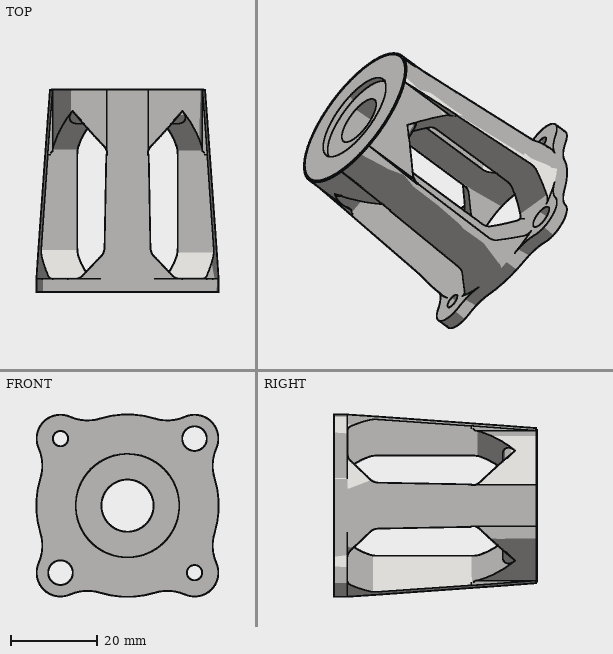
import cadquery as cq
import math

length = 47.0
flange_thickness = 3.1
base_radius = 21.15
top_radius = 18.0
bore_radius = 12.0
end_wall_start = 39.0
end_wall_round = 3.0
shaft_hole_radius = 6.0

pad_height = 0.2
pad_radius = 17.6
pilot_radius = 11.0
pilot_depth = 1.35

bolt_offset = 15.5
lobe_radius = 5.55
valley_radius = 10.0
large_hole_radius = 2.8
small_hole_radius = 1.75

arm_half_angle = 15.0
arm_end_half_width = 4.8
window_low = 9.1
window_high = 32.95
window_round = 2.8

reach = 28.2

body_end = length - pad_height
quarter_turns = (0, 90, 180, 270)


def round_bar(start, end, radius):
    """Cylinder on the Y axis between two Y positions."""
    plane = cq.Workplane("XZ", origin=(0, start, 0))
    return plane.circle(radius).extrude(start - end)


def turned(body, angle):
    """Body turned about the Y axis; positive angles go from +Z toward +X."""
    return body.rotate((0, 0, 0), (0, 1, 0), angle)


def point_toward(start, end, distance):
    """Point at a distance from start, in the direction of end."""
    share = distance / math.dist(start, end)
    return tuple(a + (b - a) * share for a, b in zip(start, end))


def flange():
    """Plate whose edge flows from a central disc through valleys to four corner lobes."""
    center = (0, 0)
    lobe = (bolt_offset, bolt_offset)
    lobe_distance = math.dist(center, lobe)

    disc_reach = base_radius + valley_radius
    lobe_reach = lobe_radius + valley_radius
    cosine = (disc_reach**2 + lobe_distance**2 - lobe_reach**2) / (2 * disc_reach * lobe_distance)
    valley_angle = math.pi / 4 - math.acos(cosine)
    valley = (disc_reach * math.sin(valley_angle), disc_reach * math.cos(valley_angle))

    disc_end = point_toward(center, valley, base_radius)
    lobe_start = point_toward(lobe, valley, lobe_radius)
    chord_middle = tuple((a + b) / 2 for a, b in zip(disc_end, lobe_start))
    valley_middle = point_toward(valley, chord_middle, valley_radius)
    lobe_tip = point_toward(center, lobe, lobe_distance + lobe_radius)

    def mirrored(point):
        return (point[1], point[0])

    outline = cq.Workplane("XZ").moveTo(-disc_end[0], disc_end[1])
    x, z = (1, 0), (0, 1)
    for _ in quarter_turns:

        def place(point):
            return (point[0] * x[0] + point[1] * z[0], point[0] * x[1] + point[1] * z[1])

        outline = outline.threePointArc(place((0, base_radius)), place(disc_end))
        outline = outline.threePointArc(place(valley_middle), place(lobe_start))
        outline = outline.threePointArc(place(lobe_tip), place(mirrored(lobe_start)))
        outline = outline.threePointArc(place(mirrored(valley_middle)), place(mirrored(disc_end)))
        x, z = (-z[0], -z[1]), x
    plate = outline.close().extrude(-flange_thickness)

    for side_x in (-1, 1):
        for side_z in (-1, 1):
            radius = large_hole_radius if side_x == side_z else small_hole_radius
            hole = round_bar(0, flange_thickness, radius)
            plate = plate.cut(hole.translate((side_x * bolt_offset, 0, side_z * bolt_offset)))
    return plate


def tapered_body():
    """Solid cone from the flange to the far end."""
    profile = [
        (0, flange_thickness),
        (base_radius, flange_thickness),
        (top_radius, body_end),
        (0, body_end),
    ]
    return cq.Workplane("XY").polyline(profile).close().revolve(360, (0, 0, 0), (0, 1, 0))


def space_beside_arm():
    """Space bounded by an arm wall in the YZ plane, 45 degree slopes and the flange."""
    low_run = window_low - flange_thickness
    side = (
        cq.Workplane("XY")
        .moveTo(low_run, flange_thickness)
        .lineTo(0, window_low)
        .lineTo(0, window_high)
        .lineTo(reach, window_high + reach)
        .lineTo(reach, flange_thickness)
        .close()
        .extrude(reach)
    )
    margin = 0.45
    near_arm = cq.selectors.BoxSelector(
        (-margin, flange_thickness - margin, 0),
        (low_run + margin, window_high + margin, reach),
    )
    return side.edges("|Z").edges(near_arm).fillet(window_round)


def window():
    """Opening of the +X +Z quadrant: the space shared by the sides of its two arms."""
    beside_z_arm = turned(space_beside_arm(), arm_half_angle)
    beside_x_arm = turned(space_beside_arm().mirror("YZ"), 90 - arm_half_angle)
    return beside_z_arm.intersect(beside_x_arm)


def recess():
    """Square corner of the +X +Z quadrant outside the cylinder that joins the arms at the far end."""
    start = window_high - window_round * math.tan(math.pi / 8)
    corner = cq.Workplane("XY").box(reach, length - start, reach, centered=False)
    corner = corner.translate((arm_end_half_width, start, arm_end_half_width))
    return corner.cut(round_bar(start, length, top_radius))


def end_wall():
    """Wall closing the far end, with a rounded inner rim and a raised outer pad."""
    wall = round_bar(end_wall_start, body_end, top_radius).faces("<Y").edges().fillet(end_wall_round)
    return wall.union(round_bar(body_end, length, pad_radius))


body = tapered_body().union(flange()).cut(round_bar(0, body_end, bore_radius))
for turn in quarter_turns:
    body = body.cut(turned(window(), turn)).cut(turned(recess(), turn))

body = body.union(end_wall())
body = body.cut(round_bar(end_wall_start, length, shaft_hole_radius))
result = body.cut(round_bar(length - pilot_depth, length, pilot_radius))